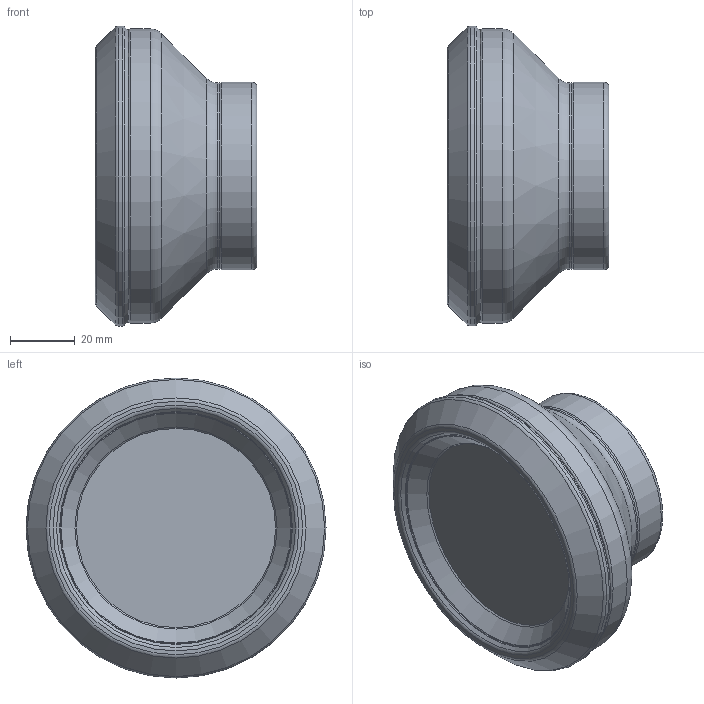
import cadquery as cq
import math

AXIS_START = (0, 0)
AXIS_END = (1, 0)

pad_radius = 46.4
pad_length = 10.2
rim_outer_radius = 39.8
rim_inner_radius = 37.4
bore_radius = 31.25
pad_edge_fillet = 1.5
pad_back_chamfer = 1.35
pad_back_fillet = 1.0
groove_outer_radius = 36.0
groove_inner_radius = 35.6
groove_depth = 0.1

total_length = 50.0
housing_radius = 91.0 / 2
housing_front_fillet = 0.7
plug_recess_depth = 0.45
shoulder_x = 19.13
shoulder_fillet = 5.0
neck_radius = 57.6 / 2
spigot_radius = 58.0 / 2
spigot_x = 38.5
spigot_lead_in = 0.6
spigot_end_fillet = 1.5


def toward(start, end, distance):
    """Point at the given distance from start on the line to end."""
    fraction = distance / math.dist(start, end)
    return tuple(a + (b - a) * fraction for a, b in zip(start, end))


def turned_body(corners):
    """Revolve a closed profile of (x, radius, corner rounding) about the X axis."""
    points = [(x, r) for x, r, _ in corners]
    profile = cq.Workplane("XY").moveTo(*points[0])
    for i in range(1, len(corners)):
        corner = points[i]
        before = points[i - 1]
        after = points[(i + 1) % len(points)]
        rounding = corners[i][2]
        if rounding == 0:
            profile = profile.lineTo(*corner)
            continue
        to_before = toward(corner, before, 1)
        to_after = toward(corner, after, 1)
        half_angle = math.asin(math.dist(to_before, to_after) / 2)
        setback = rounding / math.tan(half_angle)
        arc_start = toward(corner, before, setback)
        arc_end = toward(corner, after, setback)
        chord_middle = tuple((a + b) / 2 for a, b in zip(arc_start, arc_end))
        arc_middle = toward(corner, chord_middle, rounding / math.sin(half_angle) - rounding)
        profile = profile.lineTo(*arc_start).threePointArc(arc_middle, arc_end)
    return profile.close().revolve(360, AXIS_START, AXIS_END)


def dish_wall_x(radius):
    """X position of the 45 degree dish wall at a given radius."""
    return rim_inner_radius - radius


bore_x = dish_wall_x(bore_radius)


def make_pad():
    """Ring with a 45 degree lip, a conical dish wall and a fine V groove in that wall."""
    groove_radius = (groove_outer_radius + groove_inner_radius) / 2
    groove_offset = groove_depth / math.sqrt(2)
    return turned_body([
        (pad_length, bore_radius, 0),
        (bore_x, bore_radius, 0),
        (dish_wall_x(groove_inner_radius), groove_inner_radius, 0),
        (dish_wall_x(groove_radius) + groove_offset, groove_radius + groove_offset, 0),
        (dish_wall_x(groove_outer_radius), groove_outer_radius, 0),
        (0, rim_inner_radius, pad_edge_fillet),
        (0, rim_outer_radius, pad_edge_fillet),
        (pad_radius - rim_outer_radius, pad_radius, pad_edge_fillet),
        (pad_length - pad_back_chamfer, pad_radius, pad_back_fillet),
        (pad_length, pad_radius - pad_back_chamfer, 0),
    ])


def make_housing():
    """Plug and housing, tapering at 45 degrees to a neck and a slightly larger spigot."""
    neck_x = shoulder_x + housing_radius - neck_radius
    return turned_body([
        (bore_x + plug_recess_depth, 0, 0),
        (bore_x + plug_recess_depth, bore_radius - plug_recess_depth, 0),
        (bore_x, bore_radius, 0),
        (pad_length, bore_radius, 0),
        (pad_length, housing_radius, housing_front_fillet),
        (shoulder_x, housing_radius, shoulder_fillet),
        (neck_x, neck_radius, shoulder_fillet),
        (spigot_x, neck_radius, 0),
        (spigot_x + spigot_lead_in, spigot_radius, 0),
        (total_length, spigot_radius, spigot_end_fillet),
        (total_length, 0, 0),
    ])


pad = make_pad()
housing = make_housing()
result = cq.Compound.makeCompound([pad.val(), housing.val()])